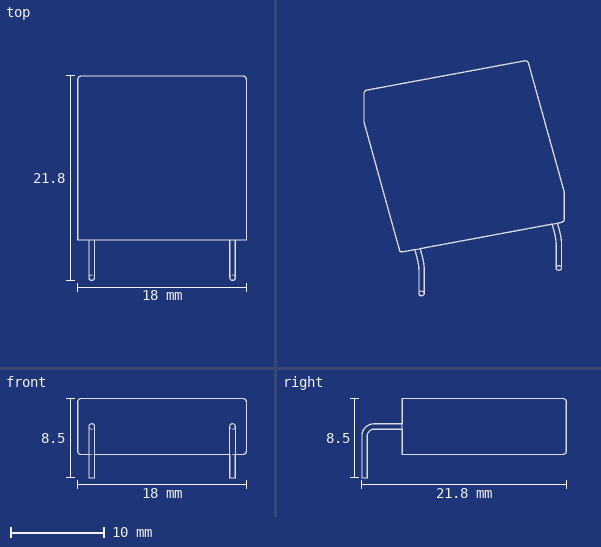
import cadquery as cq

case_width = 18.0
case_depth = 17.5
case_height = 6.0
case_edge_radius = 0.4

lead_diameter = 0.6
lead_pitch = 15.0
lead_reach = 4.0
lead_bend_radius = 1.0
lead_exit_height = case_height / 2
lead_drop = 2.5


def make_case():
    """Box with every edge rounded except those around the flat lead face."""
    box = cq.Workplane("XY").box(
        case_width, case_depth, case_height, centered=(True, False, False)
    )
    return box.edges("not(<Y)").fillet(case_edge_radius)


def make_lead(x):
    """Wire swept from the lead face, round a quarter bend and down to its tip."""
    straight_end = lead_bend_radius - lead_reach
    bend_end_height = lead_exit_height - lead_bend_radius
    path = (
        cq.Workplane("YZ", origin=(x, 0, 0))
        .moveTo(0, lead_exit_height)
        .lineTo(straight_end, lead_exit_height)
        .radiusArc((-lead_reach, bend_end_height), -lead_bend_radius)
        .lineTo(-lead_reach, -lead_drop)
    )
    section = cq.Workplane("XZ", origin=(x, 0, lead_exit_height)).circle(lead_diameter / 2)
    return section.sweep(path)


case = make_case()
leads = [make_lead(side * lead_pitch / 2) for side in (-1, 1)]

result = cq.Compound.makeCompound([case.val(), *[lead.val() for lead in leads]])